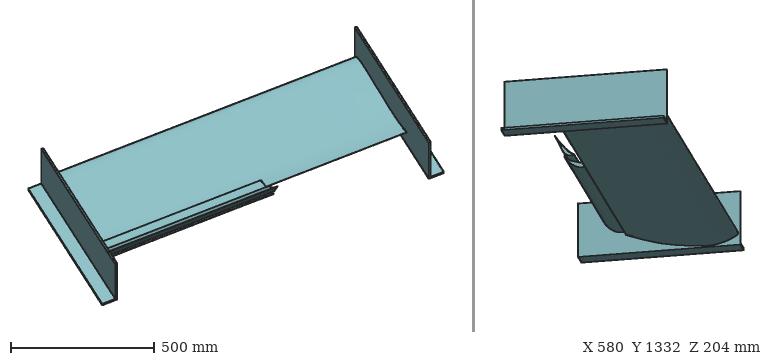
import cadquery as cq

overall_span = 1332.0
plate_length = 580.0
plate_height = 200.0
sheet_thickness = 8.0
foot_width = 59.0

inner_face_y = overall_span / 2 - foot_width
flap_span = 655.0
flap_start_y = -inner_face_y

main_nose = (8.0, 47.0)
main_tail = (408.0, 69.0)
lower_flap_nose = (388.0, 89.0)
lower_flap_tail = (488.0, 125.0)
upper_flap_nose = (452.0, 128.0)
upper_flap_tail = (521.0, 204.0)
tail_thickness = 1.0

main_top = [(27.0, 57.0), (73.0, 63.0), (213.0, 56.0)]
main_belly = [(40.0, 21.0), (147.0, 7.0), (266.0, 23.0)]
lower_flap_top = [(397.0, 92.0), (442.0, 100.0)]
lower_flap_belly = [(406.0, 81.0), (457.0, 90.0)]
upper_flap_top = [(457.0, 132.0), (492.0, 164.0)]
upper_flap_belly = [(466.0, 127.0), (500.0, 159.0)]


def make_end_plate(side):
    """L-shaped sheet: an upright plate with a foot turned outward (side is +1 or -1)."""
    inner_y = side * inner_face_y
    upright_outer_y = side * (inner_face_y + sheet_thickness)
    foot_outer_y = side * overall_span / 2
    outline = [
        (inner_y, 0),
        (foot_outer_y, 0),
        (foot_outer_y, sheet_thickness),
        (upright_outer_y, sheet_thickness),
        (upright_outer_y, plate_height),
        (inner_y, plate_height),
    ]
    return cq.Workplane("YZ").polyline(outline).close().extrude(plate_length)


def make_wing(nose, top_points, tail, belly_points, start_y, span):
    """Wing whose smooth section runs from a thin blunt tail around the nose and back."""
    lower_tail = (tail[0], tail[1] - tail_thickness)
    return (
        cq.Workplane("XZ", origin=(0, start_y, 0))
        .moveTo(*tail)
        .spline([*reversed(top_points), nose, *belly_points, lower_tail], includeCurrent=True)
        .close()
        .extrude(-span)
    )


end_plates = [make_end_plate(side) for side in (-1, 1)]

main_wing = make_wing(main_nose, main_top, main_tail, main_belly, -inner_face_y, 2 * inner_face_y)

lower_flap = make_wing(
    lower_flap_nose, lower_flap_top, lower_flap_tail, lower_flap_belly, flap_start_y, flap_span
)

upper_flap = make_wing(
    upper_flap_nose, upper_flap_top, upper_flap_tail, upper_flap_belly, flap_start_y, flap_span
)

result = cq.Compound.makeCompound(
    [
        *[plate.val() for plate in end_plates],
        main_wing.val(),
        lower_flap.val(),
        upper_flap.val(),
    ]
)